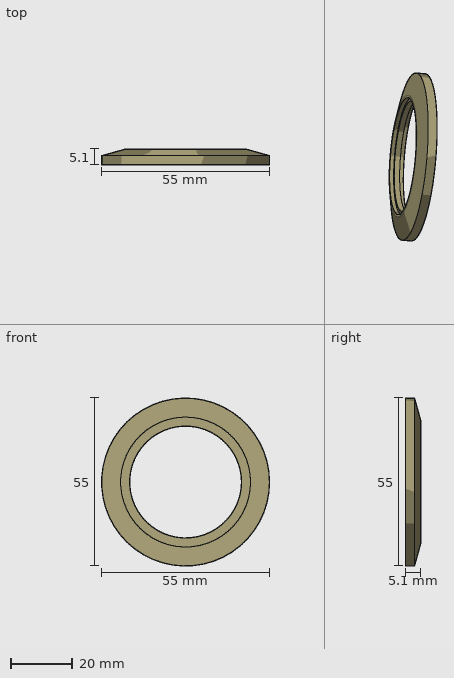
import cadquery as cq

outer_diameter = 55.0
bore_diameter = 36.5
recess_diameter = 42.5
back_face_diameter = 40.0
thickness = 5.1
rim_width = 3.0
recess_depth = 2.0
socket_diameter = 38.4
socket_depth = 1.3

front_y = -thickness / 2
back_y = thickness / 2
recess_floor_y = front_y + recess_depth
rim_end_y = front_y + rim_width
socket_floor_y = back_y - socket_depth

section = (
    cq.Workplane("XY")
    .moveTo(recess_diameter / 2, front_y)
    .lineTo(outer_diameter / 2, front_y)
    .lineTo(outer_diameter / 2, rim_end_y)
    .lineTo(back_face_diameter / 2, back_y)
    .lineTo(socket_diameter / 2, back_y)
    .lineTo(socket_diameter / 2, socket_floor_y)
    .lineTo(bore_diameter / 2, socket_floor_y)
    .lineTo(bore_diameter / 2, recess_floor_y)
    .lineTo(recess_diameter / 2, recess_floor_y)
    .close()
)

result = section.revolve(360, (0, 0, 0), (0, 1, 0))